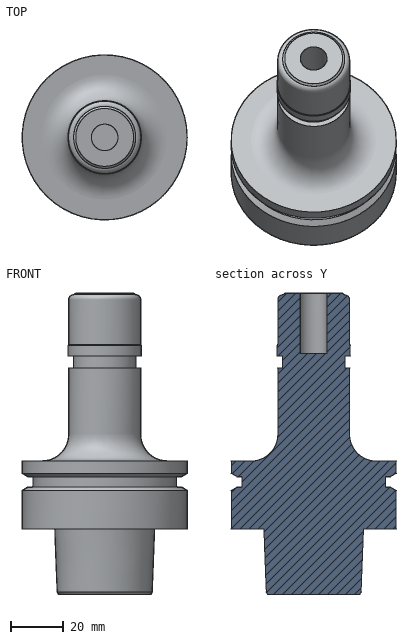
import cadquery as cq

total_length = 115.0
shank_length = 25.0
flange_top = 51.1
collar_bottom = 91.0
collar_height = 4.4
relief_height = 4.5

flange_radius = 31.5
shank_top_radius = 19.1
shank_end_radius = 18.2
post_radius = 13.8
collar_radius = 14.0
relief_radius = 12.0
bore_radius = 5.1
bore_depth = 23.0

groove_bottom = 41.0
groove_height = 3.9
groove_floor_radius = 27.5
rim_bevel_height = 1.3
groove_corner = 0.2
rim_bevel_width = 2.2

shank_end_bevel_width = 0.6
shank_end_bevel_height = 0.9
root_fillet = 10.0
collar_bevel_height = 0.3
nose_round = 2.0
nose_bevel_width = 0.8
nose_bevel_height = 0.6

groove_top = groove_bottom + groove_height
rim_radius = flange_radius - rim_bevel_width
groove_corner_radius = groove_floor_radius + groove_corner
collar_top = collar_bottom + collar_height
relief_bottom = collar_bottom - relief_height
nose_round_top = total_length - nose_bevel_height
nose_round_radius = post_radius - nose_round


def add_shank(outline):
    """Tapered shank with a bevelled lower end."""
    return (
        outline.lineTo(shank_end_radius - shank_end_bevel_width, 0)
        .lineTo(shank_end_radius, shank_end_bevel_height)
        .lineTo(shank_top_radius, shank_length)
    )


def add_flange(outline):
    """Wide flange with the gripper groove around its rim."""
    return (
        outline.lineTo(flange_radius, shank_length)
        .lineTo(flange_radius, groove_bottom - rim_bevel_height)
        .lineTo(rim_radius, groove_bottom)
        .lineTo(groove_corner_radius, groove_bottom)
        .radiusArc((groove_floor_radius, groove_bottom + groove_corner), groove_corner)
        .lineTo(groove_floor_radius, groove_top - groove_corner)
        .radiusArc((groove_corner_radius, groove_top), groove_corner)
        .lineTo(rim_radius, groove_top)
        .lineTo(flange_radius, groove_top + rim_bevel_height)
        .lineTo(flange_radius, flange_top)
    )


def add_post(outline):
    """Slim post with a filleted root, a relief, a collar and a rounded nose."""
    return (
        outline.lineTo(post_radius + root_fillet, flange_top)
        .radiusArc((post_radius, flange_top + root_fillet), root_fillet)
        .lineTo(post_radius, relief_bottom)
        .lineTo(relief_radius, relief_bottom)
        .lineTo(relief_radius, collar_bottom)
        .lineTo(collar_radius, collar_bottom)
        .lineTo(collar_radius, collar_top - collar_bevel_height)
        .lineTo(post_radius, collar_top)
        .lineTo(post_radius, nose_round_top - nose_round)
        .radiusArc((nose_round_radius, nose_round_top), -nose_round)
        .lineTo(nose_round_radius - nose_bevel_width, total_length)
    )


def make_body():
    """Revolve the half outline, drawn as radius and height, about Z."""
    outline = add_post(add_flange(add_shank(cq.Workplane("XZ").moveTo(0, 0))))
    return outline.lineTo(0, total_length).close().revolve(360, (0, 0, 0), (0, 1, 0))


def make_bore():
    """Blind bore sunk from the top of the nose."""
    bore_floor = total_length - bore_depth
    return cq.Workplane("XY").workplane(offset=bore_floor).circle(bore_radius).extrude(bore_depth)


result = make_body().cut(make_bore())